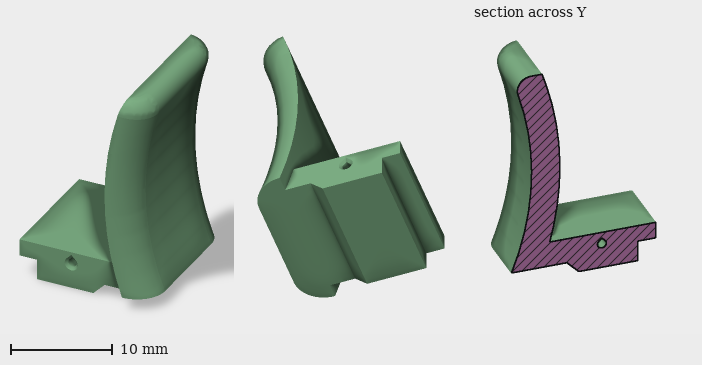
import cadquery as cq
import math

length = 15.2
height = 23.25
paddle_width = 16.35

paddle_bottom = 1.25
paddle_thickness = 3.02
inner_radius = 29.6
outer_radius = inner_radius + paddle_thickness
arc_center_z = 12.27
arc_center_x = length + math.sqrt(inner_radius**2 - (arc_center_z - paddle_bottom) ** 2)
blank_back_x = 6.97
side_fillet = 3.02
top_fillet = 1.46

base_width = 13.2
base_offset_y = -0.1
base_top = 4.02
step_length = 1.9
step_height = 2.2
chamfer_end_x = 9.35
chamfer_start_x = chamfer_end_x - paddle_bottom

hole_x = 5.67
hole_z = 2.7
hole_radius = 0.45
mouth_radius = 0.72
mouth_depth = mouth_radius - hole_radius


def arc_x(radius, z):
    """X of the point at height z on the -X side of a paddle arc."""
    return arc_center_x - math.sqrt(radius**2 - (z - arc_center_z) ** 2)


def make_paddle():
    profile = (
        cq.Workplane("XZ")
        .moveTo(blank_back_x, paddle_bottom)
        .lineTo(blank_back_x, height)
        .lineTo(arc_x(inner_radius, height), height)
        .threePointArc(
            (arc_center_x - inner_radius, arc_center_z),
            (length, paddle_bottom),
        )
        .close()
    )
    blank = profile.extrude(paddle_width / 2, both=True)
    blank = blank.edges("%CIRCLE").fillet(side_fillet)
    blank = blank.faces(">Z").edges("not <X").fillet(top_fillet)
    outer_cylinder = (
        cq.Workplane("XZ")
        .center(arc_center_x, arc_center_z)
        .circle(outer_radius)
        .extrude(paddle_width, both=True)
    )
    return blank.intersect(outer_cylinder)


def make_base():
    joint_z = (paddle_bottom + base_top) / 2
    profile = (
        cq.Workplane("XZ")
        .moveTo(0, base_top)
        .lineTo(0, step_height)
        .lineTo(step_length, step_height)
        .lineTo(step_length, 0)
        .lineTo(chamfer_start_x, 0)
        .lineTo(chamfer_end_x, paddle_bottom)
        .lineTo(arc_x(outer_radius, paddle_bottom), paddle_bottom)
        .threePointArc(
            (arc_x(outer_radius, joint_z), joint_z),
            (arc_x(outer_radius, base_top), base_top),
        )
        .close()
    )
    return profile.extrude(base_width / 2, both=True)


def teardrop(radius, y):
    """Wire of a circle capped by two 45 degree tangents, in the plane at y."""
    tangent = radius * math.sqrt(0.5)
    return (
        cq.Workplane("XZ", origin=(hole_x, y, hole_z))
        .moveTo(-tangent, tangent)
        .threePointArc((0, -radius), (tangent, tangent))
        .lineTo(0, 2 * tangent)
        .close()
        .val()
    )


def make_hole():
    half = base_width / 2
    throat = half - mouth_depth
    hole = cq.Solid.makeLoft([teardrop(hole_radius, -half), teardrop(hole_radius, half)], True)
    cutter = cq.Workplane(hole)
    for side in (-1, 1):
        wires = [teardrop(mouth_radius, side * half), teardrop(hole_radius, side * throat)]
        cutter = cutter.union(cq.Workplane(cq.Solid.makeLoft(wires, True)))
    return cutter


base = make_base().cut(make_hole()).translate((0, base_offset_y, 0))
result = make_paddle().union(base)